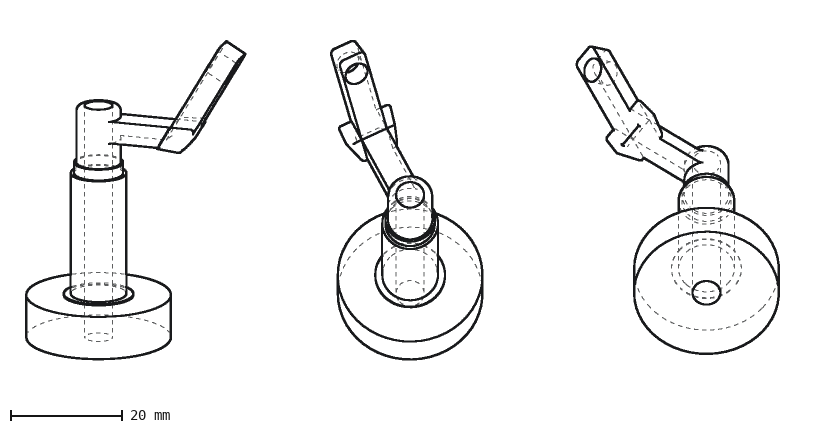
import cadquery as cq
import math

base_diameter, base_height = 26.0, 8.0
collar_diameter, collar_top = 12.5, 8.2
tube_diameter, tube_top = 10.0, 30.9
ring_diameter, ring_top = 8.85, 32.9
neck_diameter, neck_top = 8.0, 43.6
bore_diameter = 5.0
rim_round = 1.0

arm_bottom = 37.5
bar_thickness = 4.1
bar_width = 5.05
arm_joint_round = 1.0
lever_angle = math.radians(60)
lever_reach_x = 27.0
lever_top = 57.45
lever_corner_round = 1.0
lever_hole_diameter = 4.25
lever_hole_from_end = 4.1

wing_inner_half_width = 3.55
wing_outer_half_width = 5.4
wing_edge_round = 0.6

along_x, along_z = math.cos(lever_angle), math.sin(lever_angle)
across_x, across_z = along_z, -along_x

arm_top = arm_bottom + bar_thickness
tip_left_x = lever_reach_x - bar_thickness * across_x
tip_right_z = lever_top + bar_thickness * across_z
lever_slope = math.tan(lever_angle)
lever_span_x = bar_thickness / math.sin(lever_angle)
bend_left_bottom = tip_left_x - (lever_top - arm_bottom) / lever_slope
bend_left_top = tip_left_x - (lever_top - arm_top) / lever_slope
bend_right_bottom = bend_left_bottom + lever_span_x
bend_right_top = bend_left_top + lever_span_x


def extrude_across_y(points, width):
    """Extrude an XZ outline symmetrically about the XZ plane."""
    return cq.Workplane("XZ").polyline(points).close().extrude(width / 2, both=True)


def make_column():
    column = cq.Workplane("XY").circle(base_diameter / 2).extrude(base_height)
    steps = [
        (collar_diameter, collar_top),
        (tube_diameter, tube_top),
        (ring_diameter, ring_top),
    ]
    for diameter, top in steps:
        column = column.union(cq.Workplane("XY").circle(diameter / 2).extrude(top))
    neck = cq.Workplane("XY").circle(neck_diameter / 2).extrude(neck_top)
    return column.union(neck.faces(">Z").edges().fillet(rim_round))


def make_arm():
    outline = [
        (0, arm_bottom),
        (bend_left_bottom, arm_bottom),
        (bend_left_top, arm_top),
        (0, arm_top),
    ]
    return extrude_across_y(outline, bar_width)


def make_lever():
    outline = [
        (bend_left_bottom, arm_bottom),
        (bend_right_bottom, arm_bottom),
        (lever_reach_x, tip_right_z),
        (tip_left_x, lever_top),
    ]
    lever = extrude_across_y(outline, bar_width)
    end_direction = cq.Vector(along_x, 0, along_z)
    end_face = lever.faces(cq.selectors.DirectionMinMaxSelector(end_direction, True))
    lever = end_face.edges("not |Y").fillet(lever_corner_round)
    hole_plane = cq.Plane(
        origin=(
            tip_left_x - lever_hole_from_end * along_x,
            0,
            lever_top - lever_hole_from_end * along_z,
        ),
        xDir=(0, 1, 0),
        normal=(across_x, 0, across_z),
    )
    hole = cq.Workplane(hole_plane).circle(lever_hole_diameter / 2).extrude(bar_thickness)
    return lever.cut(hole)


def make_wings():
    block = extrude_across_y(
        [
            (bend_left_bottom, arm_bottom),
            (bend_right_bottom, arm_bottom),
            (bend_right_top, arm_top),
            (bend_left_top, arm_top),
        ],
        2 * wing_outer_half_width,
    )
    flare = (
        cq.Workplane("XY", origin=(0, 0, arm_bottom))
        .polyline([
            (bend_left_bottom, -wing_inner_half_width),
            (bend_right_top, -wing_outer_half_width),
            (bend_right_top, wing_outer_half_width),
            (bend_left_bottom, wing_inner_half_width),
        ])
        .close()
        .extrude(bar_thickness)
    )
    wings = block.intersect(flare)
    end_edges = wings.faces(">X").edges("|Y")
    return wings.faces("<Y or >Y").edges().add(end_edges).fillet(wing_edge_round)


def make_neck_with_arm():
    """Column and arm with the vertical inside corners between them rounded."""
    body = make_column().union(make_arm())
    joint_x = math.sqrt((neck_diameter / 2) ** 2 - (bar_width / 2) ** 2)
    for side in (-1, 1):
        joint = (joint_x, side * bar_width / 2, arm_bottom + bar_thickness / 2)
        body = body.edges(cq.selectors.NearestToPointSelector(joint)).fillet(arm_joint_round)
    return body


bore = cq.Workplane("XY").circle(bore_diameter / 2).extrude(neck_top)
result = make_neck_with_arm().union(make_wings()).union(make_lever()).cut(bore)